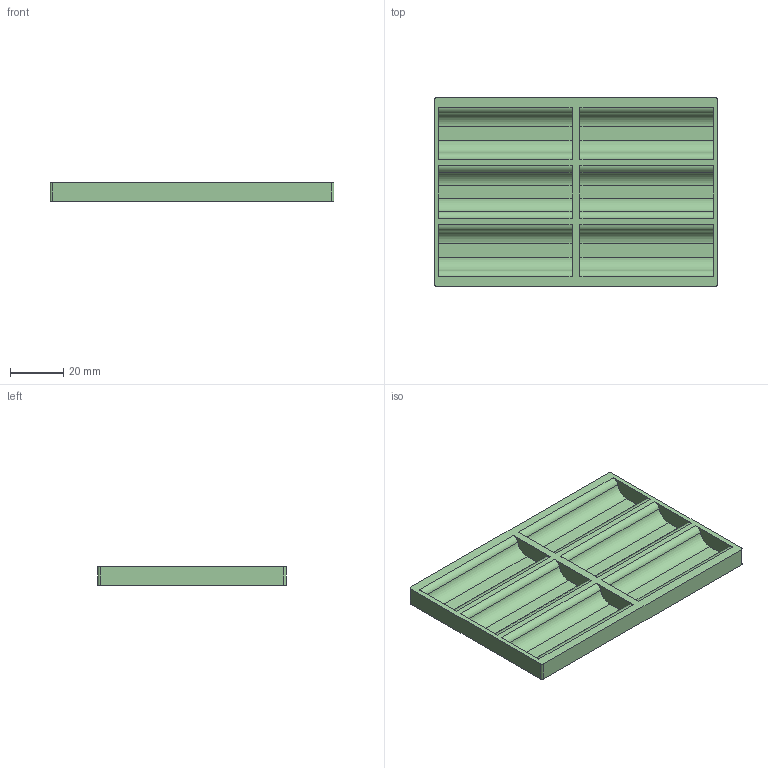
import cadquery as cq
import math

TRAY_LENGTH = 106.6
TRAY_WIDTH = 70.6
TRAY_HEIGHT = 7.0
CORNER_RADIUS = 0.8

COLUMNS = 2
ROWS = 3
END_WALL = 1.8
MIDDLE_WALL = 3.0
ROW_PITCH = 22.0
TROUGH_LENGTH = (TRAY_LENGTH - 2 * END_WALL - (COLUMNS - 1) * MIDDLE_WALL) / COLUMNS
COLUMN_PITCH = TROUGH_LENGTH + MIDDLE_WALL

TROUGH_DEPTH = 6.0
FLOOR_WIDTH = 5.0
FLANK_RADIUS = 5.0
RIM_RADIUS = 2.5

TURN_ANGLE = math.acos(1 - TROUGH_DEPTH / (FLANK_RADIUS + RIM_RADIUS))


def make_body():
    """Plain block with rounded vertical corners, resting on Z = 0."""
    block = cq.Workplane("XY").box(TRAY_LENGTH, TRAY_WIDTH, TRAY_HEIGHT, centered=(True, True, False))
    return block.edges("|Z").fillet(CORNER_RADIUS)


def make_trough():
    """Cutter for one trough, centred on X = Y = 0 and running along X."""
    floor_z = TRAY_HEIGHT - TROUGH_DEPTH
    floor_y = FLOOR_WIDTH / 2
    join_y = floor_y + FLANK_RADIUS * math.sin(TURN_ANGLE)
    join_z = floor_z + FLANK_RADIUS * (1 - math.cos(TURN_ANGLE))
    rim_y = join_y + RIM_RADIUS * math.sin(TURN_ANGLE)

    half_sine = math.sin(TURN_ANGLE / 2)
    half_rise = 1 - math.cos(TURN_ANGLE / 2)
    flank_y = floor_y + FLANK_RADIUS * half_sine
    flank_z = floor_z + FLANK_RADIUS * half_rise
    shoulder_y = rim_y - RIM_RADIUS * half_sine
    shoulder_z = TRAY_HEIGHT - RIM_RADIUS * half_rise

    return (
        cq.Workplane("YZ")
        .moveTo(-floor_y, floor_z)
        .lineTo(floor_y, floor_z)
        .threePointArc((flank_y, flank_z), (join_y, join_z))
        .threePointArc((shoulder_y, shoulder_z), (rim_y, TRAY_HEIGHT))
        .lineTo(-rim_y, TRAY_HEIGHT)
        .threePointArc((-shoulder_y, shoulder_z), (-join_y, join_z))
        .threePointArc((-flank_y, flank_z), (-floor_y, floor_z))
        .close()
        .extrude(TROUGH_LENGTH / 2, both=True)
    )


def cut_troughs(body):
    """Cut the centred grid of troughs into the top of the body."""
    trough = make_trough()
    for column in range(COLUMNS):
        x = (column - (COLUMNS - 1) / 2) * COLUMN_PITCH
        for row in range(ROWS):
            y = (row - (ROWS - 1) / 2) * ROW_PITCH
            body = body.cut(trough.translate((x, y, 0)))
    return body


result = cut_troughs(make_body())